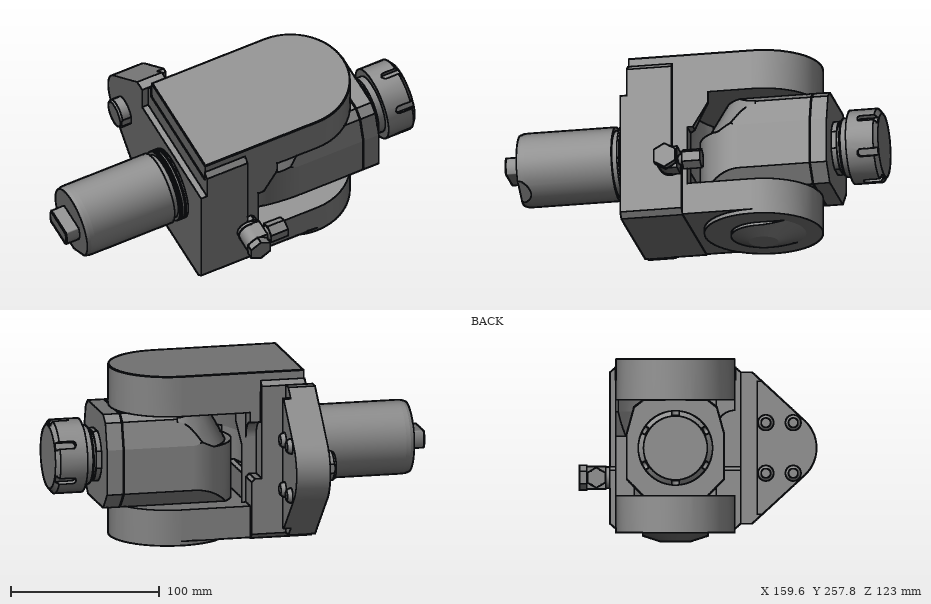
import cadquery as cq
import math


HOUSING_HALF_X = 44.0
HOUSING_HALF_Z = 54.5
CORNER_X = 4.0
CORNER_Z = 3.6
FLANGE_STEP_Y = 4.5
UPPER_BACK_Y = 35.0
LOWER_BACK_Y = 42.0
LEDGE_Z = -12.7
LEDGE_CHAMFER = 2.2

PIVOT_Y = 89.6
ARM_R = 40.0
FORK_HALF_GAP = 32.3
CAP_TOP_Z = 60.0
CAP_FRONT_Y = 5.0
CAP_SEAT_Z = 46.0
CAP_CHAMFER = 0.5
CAP_CLEARANCE = 0.4
LOWER_ARM_Z = -54.0
PIVOT_DISC_Z = -57.0
WALL_BACK_Y = 45.2
WALL_BROW_FOOT_Y = 49.2
WALL_BROW_TIP_Y = 59.3
WALL_BROW_Z = (8.0, 24.5)
WALL_HOLLOW_R = (52.4, 49.0)
WALL_SIDE_X = -27.6
WALL_SIDE_FILLET = 12.4
SHOULDER_Z = 25.3

PIVOT_CAP_D = 44.0
PIVOT_CAP_TIP_R = 10.0
PIVOT_CAP_BASE_R = 28.6
PIVOT_CAP_Z = -63.0

HEAD_HALF_X = 32.8
HEAD_FRONT_Y = 139.4
HEAD_BACK_ARC_Y = 79.4
HEAD_TOP_HALF_X = 21.7
HEAD_SHOULDER = (27.9, 27.6)
HEAD_SIDE_TOP_Z = 9.8
HEAD_SIDE_BOTTOM_Z = -21.0
HEAD_CONE_TOP_R = 24.8
HEAD_CONE_BASE_R = 38.5
HEAD_CONE_BASE_Z = 7.5
HEAD_JOINT_Y = 127.9
HEAD_JOINT_WIDTH = 0.6
HEAD_JOINT_DEPTH = 0.3

NUT_D = 50.0
NUT_BACK_Y = 150.8
NUT_FRONT_Y = 172.31
NUT_CHAMFER_Y = 2.8
NUT_FACE_R = 21.5
NUT_SLOTS = 6
NUT_SLOT_WIDTH = 5.2
NUT_SLOT_END_Y = 158.2
NUT_SLOT_DEPTH = 3.0
COLLAR_D = 40.0
COLLAR_BACK_Y = 145.0
COLLAR_CHAMFER = 1.0
NECK_D = 36.0
NECK_GROOVE_R = 17.0
NECK_FLAT = 17.0
NECK_FRONT_Y = 143.0

SHANK_R = 25.0
SHANK_END_Y = -75.5
SHANK_TAPER_Y = -69.8
SHANK_TAPER_R = 24.8
SHANK_CHAMFER = (1.0, 2.6)
SHANK_START_Y = -10.2
SHANK_NECK_R = 22.5
RING_BACK_Y = -6.3
RING_GROOVES_Y = (-1.4, -4.2)
RING_GROOVE_WIDTH = 0.8
RING_GROOVE_R = 24.35
FLAT_ANGLE = -58.0
FLAT_DISTANCE = 22.3
FLAT_LENGTH = 8.0
TANG_END_Y = -85.5
TANG_X = 25.0
TANG_Z = 12.0
TANG_CORNER = 1.0
TANG_CHAMFER = 0.6

WING_X = -70.0
WING_R = 25.0
WING_Y = 18.5
WING_ROOT_Z = 51.0
WING_CORNER_X = -51.5
COVER_Y = 23.4
COVER_END_X = -55.0
COVER_HALF_Z = 44.7
SCREW_D = 10.5
SCREW_TOP_D = 6.37
SCREW_H = 3.2
SCREW_DOME_R = 4.5
SCREW_DOME_H = 1.9
SCREW_DX = 9.2
SCREW_DZ = 17.0
PIN_D = 20.0
PIN_FLATS = 19.0
PIN_END_Y = -8.0
PIN_CHAMFER = (1.0, 1.6)

FITTING_Y = 34.6
FITTING_Z = -20.0
FITTING_STUB_D = 14.5
FITTING_D = 15.2
FITTING_STUB_X = 46.7
FITTING_BODY_X = 59.6
FITTING_END_X = 64.63
FITTING_HEX = 14.5
NOZZLE_X = 53.2
NOZZLE_HEX = 11.8
NOZZLE_START_Y = 45.4
NOZZLE_END_Y = 57.9
NOZZLE_CONE_R = (2.6, 5.4)


def box(x0, x1, y0, y1, z0, z1):
    """Axis-aligned block between two opposite corners."""
    return cq.Workplane("XY").box(x1 - x0, y1 - y0, z1 - z0, centered=False).translate((x0, y0, z0))


def prism_y(outline, y0, y1):
    """Extrude a closed XZ outline from y0 to y1."""
    return outline.extrude(y0 - y1).translate((0, y0, 0))


def prism_x(points, x0, x1):
    """Extrude a (Y, Z) polygon from x0 to x1."""
    return cq.Workplane("YZ").polyline(points).close().extrude(x1 - x0).translate((x0, 0, 0))


def turn_y(profile):
    """Revolve a (radius, Y) polygon about the Y axis."""
    return cq.Workplane("XY").polyline(profile).close().revolve(360, (0, 0, 0), (0, 1, 0))


def turn_z(profile):
    """Revolve a (radius, Z) polygon about the vertical pivot axis."""
    solid = cq.Workplane("XZ").polyline(profile).close().revolve(360, (0, 0, 0), (0, 1, 0))
    return solid.translate((0, PIVOT_Y, 0))


def u_plate(half_x, front_y, arc_y, z0, z1):
    """Plate with a square front end and a half-round end on the +Y side."""
    return (
        cq.Workplane("XY")
        .moveTo(-half_x, front_y)
        .lineTo(half_x, front_y)
        .lineTo(half_x, arc_y)
        .threePointArc((0, arc_y + half_x), (-half_x, arc_y))
        .close()
        .extrude(z1 - z0)
        .translate((0, 0, z0))
    )


def make_housing():
    inner_x = HOUSING_HALF_X - CORNER_X
    inner_z = HOUSING_HALF_Z - CORNER_Z
    section = [
        (-inner_x, -HOUSING_HALF_Z), (inner_x, -HOUSING_HALF_Z),
        (HOUSING_HALF_X, -inner_z), (HOUSING_HALF_X, inner_z),
        (inner_x, HOUSING_HALF_Z), (-inner_x, HOUSING_HALF_Z),
        (-HOUSING_HALF_X, inner_z), (-HOUSING_HALF_X, -inner_z),
    ]
    block = prism_y(cq.Workplane("XZ").polyline(section).close(), 0, LOWER_BACK_Y)
    side = [
        (0, -HOUSING_HALF_Z), (LOWER_BACK_Y, -HOUSING_HALF_Z),
        (LOWER_BACK_Y, LEDGE_Z - LEDGE_CHAMFER), (LOWER_BACK_Y - LEDGE_CHAMFER, LEDGE_Z),
        (UPPER_BACK_Y, LEDGE_Z), (UPPER_BACK_Y, HOUSING_HALF_Z),
        (FLANGE_STEP_Y, HOUSING_HALF_Z), (FLANGE_STEP_Y, FORK_HALF_GAP), (0, FORK_HALF_GAP),
    ]
    block = block.intersect(prism_x(side, -HOUSING_HALF_X, HOUSING_HALF_X))
    seat_x = ARM_R + CAP_CLEARANCE
    return block.cut(box(-seat_x, seat_x, 0, LOWER_BACK_Y, CAP_SEAT_Z, HOUSING_HALF_Z))


def make_fork():
    cap = u_plate(ARM_R, CAP_FRONT_Y, PIVOT_Y, FORK_HALF_GAP, CAP_TOP_Z)
    cap = cap.faces(">Z").edges().chamfer(CAP_CHAMFER)
    lower_arm = u_plate(ARM_R, UPPER_BACK_Y, PIVOT_Y, LOWER_ARM_Z, -FORK_HALF_GAP)
    disc = (
        cq.Workplane("XY").circle(ARM_R).extrude(LOWER_ARM_Z - PIVOT_DISC_Z)
        .translate((0, PIVOT_Y, PIVOT_DISC_Z))
    )
    return cap.union(lower_arm).union(disc).union(make_wall())


def make_wall():
    """Wall between the fork arms, hollowed to a cone that clears the swivelling head."""
    foot_z, tip_z = WALL_BROW_Z
    wall = prism_x([
        (UPPER_BACK_Y, -FORK_HALF_GAP), (WALL_BACK_Y, -FORK_HALF_GAP), (WALL_BACK_Y, foot_z),
        (WALL_BROW_FOOT_Y, foot_z), (WALL_BROW_TIP_Y, tip_z), (WALL_BROW_TIP_Y, FORK_HALF_GAP),
        (UPPER_BACK_Y, FORK_HALF_GAP),
    ], WALL_SIDE_X, ARM_R)
    lower_r, upper_r = WALL_HOLLOW_R
    hollow = turn_z([
        (0, -FORK_HALF_GAP), (lower_r, -FORK_HALF_GAP), (lower_r, foot_z),
        (upper_r, tip_z), (upper_r, FORK_HALF_GAP), (0, FORK_HALF_GAP),
    ])
    fillet_top_x = WALL_SIDE_X - WALL_SIDE_FILLET
    fillet_bottom_z = SHOULDER_Z - WALL_SIDE_FILLET
    bend = WALL_SIDE_FILLET * math.sqrt(0.5)
    shoulder = prism_y(
        cq.Workplane("XZ")
        .moveTo(fillet_top_x, FORK_HALF_GAP)
        .lineTo(fillet_top_x, SHOULDER_Z)
        .threePointArc((fillet_top_x + bend, fillet_bottom_z + bend), (WALL_SIDE_X, fillet_bottom_z))
        .lineTo(WALL_SIDE_X, FORK_HALF_GAP)
        .close(),
        UPPER_BACK_Y,
        LOWER_BACK_Y,
    )
    return wall.cut(hollow).union(shoulder)


def make_pivot_cap():
    """Shallow cone under the fork, trimmed to a half-round plan open towards +Y."""
    cone = turn_z([
        (0, PIVOT_CAP_Z), (PIVOT_CAP_TIP_R, PIVOT_CAP_Z),
        (PIVOT_CAP_BASE_R, PIVOT_DISC_Z), (0, PIVOT_DISC_Z),
    ])
    radius = PIVOT_CAP_D / 2
    plan = cq.Workplane("XY").circle(radius).extrude(PIVOT_DISC_Z - PIVOT_CAP_Z)
    plan = plan.translate((0, PIVOT_Y, PIVOT_CAP_Z))
    tail = box(-radius, radius, PIVOT_Y, PIVOT_Y + PIVOT_CAP_BASE_R, PIVOT_CAP_Z, PIVOT_DISC_Z)
    return cone.intersect(plan.union(tail))


def head_section(inset):
    """Closed XZ outline of the head, moved inwards by the inset."""
    half_x = HEAD_HALF_X - inset
    half_z = FORK_HALF_GAP - inset
    shoulder_x = HEAD_SHOULDER[0] - inset
    shoulder_z = HEAD_SHOULDER[1] - inset
    right = [
        (HEAD_TOP_HALF_X, -half_z), (half_x, HEAD_SIDE_BOTTOM_Z), (half_x, HEAD_SIDE_TOP_Z),
        (shoulder_x, shoulder_z), (HEAD_TOP_HALF_X, half_z),
    ]
    left = [(-x, z) for x, z in reversed(right)]
    return cq.Workplane("XZ").polyline(right + left).close()


def make_head():
    back_y = HEAD_BACK_ARC_Y - HEAD_HALF_X
    head = prism_y(head_section(0), back_y, HEAD_FRONT_Y)
    round_back = (
        cq.Workplane("XY").circle(HEAD_HALF_X).extrude(2 * FORK_HALF_GAP)
        .translate((0, HEAD_BACK_ARC_Y, -FORK_HALF_GAP))
    )
    front = box(-HEAD_HALF_X, HEAD_HALF_X, HEAD_BACK_ARC_Y, HEAD_FRONT_Y, -FORK_HALF_GAP, FORK_HALF_GAP)
    head = head.intersect(round_back.union(front))
    relief = box(-HEAD_HALF_X, HEAD_HALF_X, back_y, PIVOT_Y, HEAD_CONE_BASE_Z, FORK_HALF_GAP)
    cone = turn_z([
        (0, HEAD_CONE_BASE_Z), (HEAD_CONE_BASE_R, HEAD_CONE_BASE_Z),
        (HEAD_CONE_TOP_R, FORK_HALF_GAP), (0, FORK_HALF_GAP),
    ])
    head = head.cut(relief.cut(cone))
    joint_back_y = HEAD_JOINT_Y - HEAD_JOINT_WIDTH / 2
    joint_front_y = HEAD_JOINT_Y + HEAD_JOINT_WIDTH / 2
    joint = prism_y(head_section(0), joint_back_y, joint_front_y)
    core = prism_y(head_section(HEAD_JOINT_DEPTH), joint_back_y, joint_front_y)
    return head.cut(joint.cut(core))


def make_spindle():
    collar_r = COLLAR_D / 2
    nut_r = NUT_D / 2
    nose = turn_y([
        (0, NECK_FRONT_Y), (NECK_GROOVE_R, NECK_FRONT_Y), (NECK_GROOVE_R, COLLAR_BACK_Y),
        (collar_r - COLLAR_CHAMFER, COLLAR_BACK_Y), (collar_r, COLLAR_BACK_Y + COLLAR_CHAMFER),
        (collar_r, NUT_BACK_Y), (nut_r, NUT_BACK_Y), (nut_r, NUT_FRONT_Y - NUT_CHAMFER_Y),
        (NUT_FACE_R, NUT_FRONT_Y), (0, NUT_FRONT_Y),
    ])
    slot_half = NUT_SLOT_WIDTH / 2
    slot = (
        cq.Workplane("XY")
        .moveTo(-slot_half, NUT_FRONT_Y)
        .lineTo(-slot_half, NUT_SLOT_END_Y + slot_half)
        .threePointArc((0, NUT_SLOT_END_Y), (slot_half, NUT_SLOT_END_Y + slot_half))
        .lineTo(slot_half, NUT_FRONT_Y)
        .close()
        .extrude(2 * NUT_SLOT_DEPTH)
        .translate((0, 0, nut_r - NUT_SLOT_DEPTH))
    )
    for i in range(NUT_SLOTS):
        nose = nose.cut(slot.rotate((0, 0, 0), (0, 1, 0), 360 / NUT_SLOTS * i))
    neck = prism_y(cq.Workplane("XZ").circle(NECK_D / 2), HEAD_FRONT_Y, NECK_FRONT_Y)
    flats = box(-NECK_FLAT, NECK_FLAT, HEAD_FRONT_Y, NECK_FRONT_Y, -NECK_FLAT, NECK_FLAT)
    return nose.union(neck.intersect(flats))


def make_shank():
    dr, dy = SHANK_CHAMFER
    shank = turn_y([
        (0, 0), (SHANK_R, 0), (SHANK_R, RING_BACK_Y), (SHANK_NECK_R, RING_BACK_Y),
        (SHANK_NECK_R, SHANK_START_Y), (SHANK_R, SHANK_START_Y), (SHANK_R, SHANK_TAPER_Y),
        (SHANK_TAPER_R, SHANK_END_Y + dy), (SHANK_R - dr, SHANK_END_Y), (0, SHANK_END_Y),
    ])
    for y in RING_GROOVES_Y:
        y_end = y - RING_GROOVE_WIDTH
        groove = [(RING_GROOVE_R, y), (SHANK_R, y), (SHANK_R, y_end), (RING_GROOVE_R, y_end)]
        shank = shank.cut(turn_y(groove))
    wedge = [(FLAT_DISTANCE, SHANK_END_Y), (SHANK_R, SHANK_END_Y + FLAT_LENGTH), (SHANK_R, SHANK_END_Y)]
    flat = cq.Workplane("XY").polyline(wedge).close().extrude(SHANK_R, both=True)
    shank = shank.cut(flat.rotate((0, 0, 0), (0, 1, 0), -FLAT_ANGLE))
    tang = prism_y(cq.Workplane("XZ").circle(TANG_X / 2), TANG_END_Y, SHANK_END_Y)
    tang = tang.intersect(prism_y(cq.Workplane("XZ").rect(TANG_X, TANG_Z), TANG_END_Y, SHANK_END_Y))
    tang = tang.edges("|Y").fillet(TANG_CORNER).faces("<Y").edges().chamfer(TANG_CHAMFER)
    return shank.union(tang)


def wing_outline():
    """Triangular ear with a rounded tip, tangent to lines from the two root corners."""
    corner_dx = WING_CORNER_X - WING_X
    corner_angle = math.atan2(WING_ROOT_Z, corner_dx)
    tangent_angle = corner_angle + math.acos(WING_R / math.hypot(corner_dx, WING_ROOT_Z))
    tangent_x = WING_X + WING_R * math.cos(tangent_angle)
    tangent_z = WING_R * math.sin(tangent_angle)
    return (
        cq.Workplane("XZ")
        .moveTo(-HOUSING_HALF_X, -WING_ROOT_Z)
        .lineTo(WING_CORNER_X, -WING_ROOT_Z)
        .lineTo(tangent_x, -tangent_z)
        .threePointArc((WING_X - WING_R, 0), (tangent_x, tangent_z))
        .lineTo(WING_CORNER_X, WING_ROOT_Z)
        .lineTo(-HOUSING_HALF_X, WING_ROOT_Z)
        .close()
    )


def make_wing():
    wing = prism_y(wing_outline(), 0, WING_Y)
    cover = prism_y(wing_outline(), WING_Y, COVER_Y)
    cover = cover.intersect(
        box(WING_X - WING_R, COVER_END_X, WING_Y, COVER_Y, -COVER_HALF_Z, COVER_HALF_Z)
    )
    wing = wing.union(cover)
    screw = (
        cq.Workplane("XY")
        .moveTo(0, COVER_Y)
        .lineTo(SCREW_D / 2, COVER_Y)
        .threePointArc((SCREW_DOME_R, COVER_Y + SCREW_DOME_H), (SCREW_TOP_D / 2, COVER_Y + SCREW_H))
        .lineTo(0, COVER_Y + SCREW_H)
        .close()
        .revolve(360, (0, 0, 0), (0, 1, 0))
    )
    for dx in (-SCREW_DX, SCREW_DX):
        for dz in (-SCREW_DZ, SCREW_DZ):
            wing = wing.union(screw.translate((WING_X + dx, 0, dz)))
    pin_r = PIN_D / 2
    chamfer_r, chamfer_y = PIN_CHAMFER
    pin = turn_y([
        (0, 0), (pin_r, 0), (pin_r, PIN_END_Y + chamfer_y), (pin_r - chamfer_r, PIN_END_Y), (0, PIN_END_Y),
    ])
    pin = pin.intersect(box(-PIN_FLATS / 2, PIN_FLATS / 2, PIN_END_Y, 0, -pin_r, pin_r))
    return wing.union(pin.translate((WING_X, 0, 0)))


def hexagon_points(across_flats):
    """Hexagon corners with two corners on the second axis."""
    radius = across_flats / math.sqrt(3)
    angles = [math.radians(30 + 60 * i) for i in range(6)]
    return [(radius * math.cos(a), radius * math.sin(a)) for a in angles]


def make_fitting():
    stub = (
        cq.Workplane("YZ").circle(FITTING_STUB_D / 2).extrude(FITTING_STUB_X - HOUSING_HALF_X)
        .translate((HOUSING_HALF_X, FITTING_Y, FITTING_Z))
    )
    radius = FITTING_D / 2
    body = (
        cq.Workplane("YZ")
        .moveTo(0, radius)
        .threePointArc((-radius, 0), (0, -radius))
        .lineTo(radius, -radius)
        .lineTo(radius, radius)
        .close()
        .extrude(FITTING_BODY_X - FITTING_STUB_X)
        .translate((FITTING_STUB_X, FITTING_Y, FITTING_Z))
    )
    plug = prism_x(hexagon_points(FITTING_HEX), FITTING_BODY_X, FITTING_END_X)
    plug = plug.translate((0, FITTING_Y, FITTING_Z))
    body_end_y = FITTING_Y + radius
    tip_r, base_r = NOZZLE_CONE_R
    cone = turn_y([(0, body_end_y), (tip_r, body_end_y), (base_r, NOZZLE_START_Y), (0, NOZZLE_START_Y)])
    nut_outline = cq.Workplane("XZ").polyline(hexagon_points(NOZZLE_HEX)).close()
    nozzle = cone.union(prism_y(nut_outline, NOZZLE_START_Y, NOZZLE_END_Y))
    nozzle = nozzle.translate((NOZZLE_X, 0, FITTING_Z))
    return stub.union(body).union(plug).union(nozzle)


result = make_housing()
for piece in (
    make_fork(), make_pivot_cap(), make_head(), make_spindle(),
    make_shank(), make_wing(), make_fitting(),
):
    result = result.union(piece)